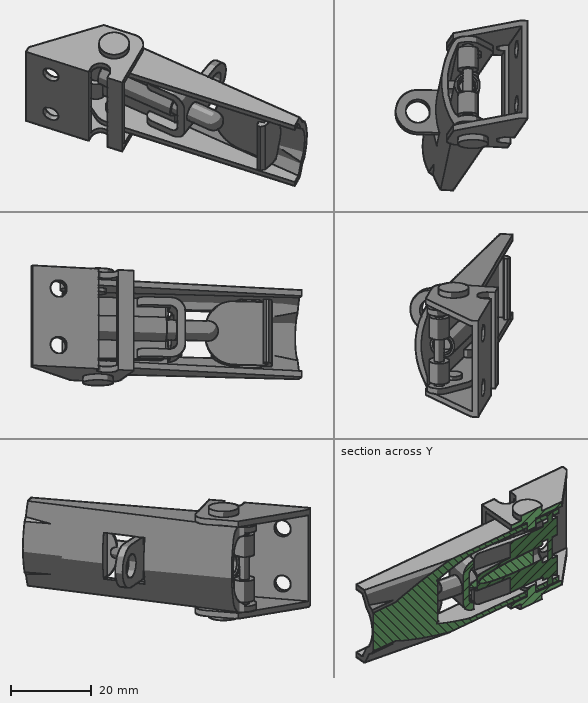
import cadquery as cq
import math

TILT = 7.6
SHEET = 1.5
EXTRA = 10.0

BRACKET_LEFT = -19.5
BRACKET_RIGHT = 6.5
BRACKET_BOTTOM = -10.0
BRACKET_TOP = 6.0
BRACKET_HALF_WIDTH = 12.65
BRACKET_CORNER_RADIUS = 3.5
BRACKET_SLANT_START_Y = -8.3
BRACKET_SLANT_END_X = -5.4
BRACKET_TIP_RADIUS = 1.4
SLOT_RADIUS = 2.5
SCREW_HOLE_DIAMETER = 4.2
SCREW_HOLE_X = -12.75
SCREW_HOLE_Z = 7.15

STUD_HEAD_DIAMETER = 7.5
STUD_HEAD_HEIGHT = 1.5
STUD_SHANK_DIAMETER = 4.2
STUD_TIP_Z = 8.55

PIN_X = -6.0
PIN_Y = 2.45
PIN_DIAMETER = 2.5

LEVER_HALF_WIDTH = 11.0
LEVER_RIGHT = 51.0
LEVER_BOTTOM = -5.0
LEVER_BACK_V = 8.13
LEVER_BACK_RADIUS = 20.5
NOSE_RADIUS = 3.0
NOSE_BLEND_RADIUS = 1.5
NOSE_UNDERSIDE_ANGLE = 50.0
HEEL_RADIUS = 4.7
WINDOW_X = (19.0, 30.0)
WINDOW_HALF_WIDTH = 6.0

TONGUE_TOP = 2.76
TONGUE_FOLD = (6.56, 1.19)
TONGUE_SIDE_ANGLE = 54.0
TONGUE_INNER_FOLD = (4.98, -0.05)
TONGUE_INNER_SIDE_ANGLE = 44.0
TONGUE_START_X = 35.0
TONGUE_HALF_WIDTH = 9.0

PAD_BOTTOM_V = 3.14
PAD_LEFT_U = 27.3
PAD_RIGHT_U = 43.95
PAD_HALF_WIDTH = 8.0
PAD_END_RADIUS = 7.0
SHOULDER_HALF_WIDTH = 8.6
SHOULDER_U = (34.6, 41.6)
SHOULDER_STEP = 0.6
SHOULDER_SLOPE = 1.5
LIP_NECK_U = 42.7
LIP_FILLET = 0.8
LIP_NECK_V = 1.4
LIP_TIP = [
    (41.37, 0.68),
    (41.47, -0.07),
    (41.99, -0.58),
    (42.65, -0.47),
    (43.5, 0.45),
]

KNUCKLE_DIAMETER = 5.0
KNUCKLE_HALF_WIDTH = 8.57
WEB_HALF_WIDTH = 7.7
WEB_CORNER_RADIUS = 1.5
SLEEVE_DIAMETER = 6.3
SLEEVE_END_U = 17.1
BORE_DIAMETER = 4.13
BORE_MOUTH_DIAMETER = 5.1
BORE_MOUTH_DEPTH = 0.4

ROD_DIAMETER = 5.0
ROD_RECESS = 3.0
ROD_DOME_U = 27.75

CATCH_THICKNESS = 2.0
CATCH_U = 19.6
CATCH_HALF_WIDTH = 7.5
CATCH_OUTER_RADIUS = 3.5
CATCH_INNER_RADIUS = 2.0
CATCH_SHOULDER_V = 5.0
LEG_START_U = 9.85
LEG_BOTTOM_V = -2.06
LEG_HEIGHT = 2.65
LEG_END_RADIUS = 2.2
RING_RADIUS = 5.5
RING_HOLE_DIAMETER = 6.0
RING_TOP_V = 17.97

tilt_sin = math.sin(math.radians(TILT))
tilt_cos = math.cos(math.radians(TILT))
pin_u = PIN_X * tilt_cos - PIN_Y * tilt_sin
pin_v = PIN_X * tilt_sin + PIN_Y * tilt_cos
sleeve_start_u = pin_u + KNUCKLE_DIAMETER / 2


def tilted(body):
    """Turn a body drawn in the U, V frame into its place on the lever."""
    return body.rotate((0, 0, 0), (0, 0, 1), -TILT)


def z_cylinder(x, y, diameter, z_from, z_to):
    plane = cq.Workplane("XY", origin=(x, y, z_from))
    return plane.circle(diameter / 2).extrude(z_to - z_from)


def u_cylinder(u_from, u_to, diameter):
    """Cylinder on the rod axis, in the tilted frame."""
    plane = cq.Workplane("YZ", origin=(u_from, pin_v, 0))
    return plane.circle(diameter / 2).extrude(u_to - u_from)


def block(x_range, y_range, half_width):
    plane = cq.Workplane("XY", origin=(x_range[0], y_range[0], -half_width))
    size = (x_range[1] - x_range[0], y_range[1] - y_range[0], 2 * half_width)
    return plane.box(*size, centered=False)


def make_stud(side):
    """Headed stud the lever turns on, on the +Z (1) or -Z (-1) side."""
    shank = z_cylinder(0, 0, STUD_SHANK_DIAMETER, STUD_TIP_Z, BRACKET_HALF_WIDTH)
    head_top = BRACKET_HALF_WIDTH + STUD_HEAD_HEIGHT
    head = z_cylinder(0, 0, STUD_HEAD_DIAMETER, BRACKET_HALF_WIDTH, head_top)
    stud = shank.union(head)
    return stud if side > 0 else stud.mirror("XY")


def make_bracket():
    floor_y = BRACKET_BOTTOM + SHEET
    body = (
        cq.Workplane("XY")
        .moveTo(BRACKET_LEFT, BRACKET_BOTTOM)
        .lineTo(BRACKET_RIGHT, BRACKET_BOTTOM)
        .lineTo(BRACKET_RIGHT, BRACKET_TOP)
        .lineTo(BRACKET_SLANT_END_X, BRACKET_TOP)
        .lineTo(BRACKET_LEFT, BRACKET_SLANT_START_Y)
        .close()
        .extrude(BRACKET_HALF_WIDTH, both=True)
    )
    body = body.edges("|Z and >X and >Y").fillet(BRACKET_CORNER_RADIUS)
    tip_edge = cq.selectors.NearestToPointSelector((BRACKET_LEFT, BRACKET_SLANT_START_Y, 0))
    body = body.edges("|Z").edges(tip_edge).fillet(BRACKET_TIP_RADIUS)

    inside = block(
        (BRACKET_LEFT - EXTRA, BRACKET_RIGHT + EXTRA),
        (floor_y, BRACKET_TOP + EXTRA),
        BRACKET_HALF_WIDTH - SHEET,
    )
    slot = block((-SLOT_RADIUS, SLOT_RADIUS), (BRACKET_BOTTOM - EXTRA, floor_y), BRACKET_HALF_WIDTH)
    slot_end = z_cylinder(0, floor_y, 2 * SLOT_RADIUS, -BRACKET_HALF_WIDTH, BRACKET_HALF_WIDTH)
    screw_holes = (
        cq.Workplane("XZ", origin=(0, floor_y, 0))
        .pushPoints([(SCREW_HOLE_X, SCREW_HOLE_Z), (SCREW_HOLE_X, -SCREW_HOLE_Z)])
        .circle(SCREW_HOLE_DIAMETER / 2)
        .extrude(SHEET)
    )
    body = body.cut(inside).cut(slot).cut(slot_end).cut(screw_holes)
    for side in (1, -1):
        body = body.union(make_stud(side))
    return body


def lever_outline():
    """Side outline of the lever: nose, underside, heel and free end."""
    angle = math.radians(NOSE_UNDERSIDE_ANGLE)
    normal = (-math.cos(angle), -math.sin(angle))
    half_turn = (angle - math.pi / 2) / 2
    nose_mid = (-math.cos(half_turn), -math.sin(half_turn))
    underside_start = (PIN_X + NOSE_RADIUS * normal[0], PIN_Y + NOSE_RADIUS * normal[1])
    heel_y = LEVER_BOTTOM + HEEL_RADIUS
    underside_end_y = heel_y + HEEL_RADIUS * normal[1]
    run = (underside_start[1] - underside_end_y) * math.tan(angle)
    underside_end = (underside_start[0] + run, underside_end_y)
    heel_x = underside_end[0] - HEEL_RADIUS * normal[0]
    heel_mid_angle = (angle + math.pi / 2) / 2
    heel_mid = (
        heel_x - HEEL_RADIUS * math.cos(heel_mid_angle),
        heel_y - HEEL_RADIUS * math.sin(heel_mid_angle),
    )
    nose_top = PIN_Y + NOSE_RADIUS
    blend_y = nose_top + NOSE_BLEND_RADIUS
    blend_mid = NOSE_BLEND_RADIUS * math.sqrt(0.5)
    back_end_x = PIN_X + NOSE_BLEND_RADIUS
    above = LEVER_BACK_V + EXTRA
    return (
        cq.Workplane("XY")
        .moveTo(PIN_X, nose_top)
        .threePointArc(
            (PIN_X + NOSE_RADIUS * nose_mid[0], PIN_Y + NOSE_RADIUS * nose_mid[1]),
            underside_start,
        )
        .lineTo(*underside_end)
        .threePointArc(heel_mid, (heel_x, LEVER_BOTTOM))
        .lineTo(LEVER_RIGHT, LEVER_BOTTOM)
        .lineTo(LEVER_RIGHT, above)
        .lineTo(back_end_x, above)
        .lineTo(back_end_x, blend_y)
        .threePointArc((PIN_X + blend_mid, blend_y - blend_mid), (PIN_X, nose_top))
        .close()
        .extrude(LEVER_HALF_WIDTH, both=True)
    )


def arched_bar(half_width, crown_v, radius):
    """Bar along U with straight sides and an arched top."""
    side_v = crown_v - radius + math.sqrt(radius**2 - half_width**2)
    base_v = LEVER_BOTTOM - EXTRA
    return tilted(
        cq.Workplane("YZ", origin=(PIN_X - EXTRA, 0, 0))
        .moveTo(base_v, -half_width)
        .lineTo(side_v, -half_width)
        .threePointArc((crown_v, 0), (side_v, half_width))
        .lineTo(base_v, half_width)
        .close()
        .extrude(LEVER_RIGHT - PIN_X + 2 * EXTRA)
    )


def tongue_bar(top_y, fold, side_angle):
    """Bar along X with a rounded crown between two folds and sloping side walls."""
    fold_z, fold_y = fold
    edge_y = fold_y - (TONGUE_HALF_WIDTH - fold_z) * math.tan(math.radians(side_angle))
    return (
        cq.Workplane("YZ", origin=(TONGUE_START_X, 0, 0))
        .moveTo(LEVER_BOTTOM, -TONGUE_HALF_WIDTH)
        .lineTo(edge_y, -TONGUE_HALF_WIDTH)
        .lineTo(fold_y, -fold_z)
        .threePointArc((top_y, 0), (fold_y, fold_z))
        .lineTo(edge_y, TONGUE_HALF_WIDTH)
        .lineTo(LEVER_BOTTOM, TONGUE_HALF_WIDTH)
        .close()
        .extrude(LEVER_RIGHT - TONGUE_START_X)
    )


def make_pad():
    """Stop pad with a hooked lip, drawn up to the crown of the lever back."""
    plate = block((PAD_LEFT_U, PAD_RIGHT_U), (PAD_BOTTOM_V, LEVER_BACK_V), PAD_HALF_WIDTH)
    plate = plate.edges("|Y and <X").fillet(PAD_END_RADIUS)

    shoulder = (
        cq.Workplane("XZ", origin=(0, PAD_BOTTOM_V + SHOULDER_STEP, 0))
        .polyline([
            (SHOULDER_U[0], -PAD_HALF_WIDTH),
            (SHOULDER_U[0] + SHOULDER_SLOPE, -SHOULDER_HALF_WIDTH),
            (SHOULDER_U[1] - SHOULDER_SLOPE / 2, -SHOULDER_HALF_WIDTH),
            (SHOULDER_U[1], -PAD_HALF_WIDTH),
            (SHOULDER_U[1], PAD_HALF_WIDTH),
            (SHOULDER_U[1] - SHOULDER_SLOPE / 2, SHOULDER_HALF_WIDTH),
            (SHOULDER_U[0] + SHOULDER_SLOPE, SHOULDER_HALF_WIDTH),
            (SHOULDER_U[0], PAD_HALF_WIDTH),
        ])
        .close()
        .extrude(PAD_BOTTOM_V + SHOULDER_STEP - LEVER_BACK_V)
    )

    fillet_mid = LIP_FILLET * (1 - math.sqrt(0.5))
    lip = (
        cq.Workplane("XY", origin=(0, 0, -PAD_HALF_WIDTH))
        .moveTo(LIP_NECK_U - LIP_FILLET, PAD_BOTTOM_V)
        .threePointArc(
            (LIP_NECK_U - fillet_mid, PAD_BOTTOM_V - fillet_mid),
            (LIP_NECK_U, PAD_BOTTOM_V - LIP_FILLET),
        )
        .lineTo(LIP_NECK_U, LIP_NECK_V)
    )
    for point in LIP_TIP:
        lip = lip.lineTo(*point)
    lip = lip.lineTo(PAD_RIGHT_U, PAD_BOTTOM_V).close().extrude(2 * PAD_HALF_WIDTH)
    return tilted(plate.union(shoulder).union(lip).cut(rod_shape()))


def make_lever():
    back = arched_bar(LEVER_HALF_WIDTH, LEVER_BACK_V, LEVER_BACK_RADIUS)
    hollow = arched_bar(LEVER_HALF_WIDTH - SHEET, LEVER_BACK_V - SHEET, LEVER_BACK_RADIUS - SHEET)
    tongue = tongue_bar(TONGUE_TOP, TONGUE_FOLD, TONGUE_SIDE_ANGLE)
    tongue_hollow = tongue_bar(TONGUE_TOP - SHEET, TONGUE_INNER_FOLD, TONGUE_INNER_SIDE_ANGLE)
    window = block(WINDOW_X, (0, LEVER_BACK_V + EXTRA), WINDOW_HALF_WIDTH)
    pin_hole = z_cylinder(PIN_X, PIN_Y, PIN_DIAMETER, -LEVER_HALF_WIDTH, LEVER_HALF_WIDTH)
    stud_hole = z_cylinder(0, 0, STUD_SHANK_DIAMETER, -LEVER_HALF_WIDTH, LEVER_HALF_WIDTH)
    shell = back.union(tongue).intersect(lever_outline())
    shell = shell.cut(hollow).cut(tongue_hollow)
    pad = make_pad().intersect(back)
    return shell.union(pad).cut(window).cut(pin_hole).cut(stud_hole)


def rod_shape():
    """Round rod with a domed tip and a thinner tail in the bore of the carrier."""
    tail = u_cylinder(sleeve_start_u + ROD_RECESS, SLEEVE_END_U, BORE_DIAMETER)
    rod = u_cylinder(SLEEVE_END_U, ROD_DOME_U, ROD_DIAMETER)
    dome = cq.Workplane("XY", origin=(ROD_DOME_U, pin_v, 0)).sphere(ROD_DIAMETER / 2)
    return rod.union(dome).union(tail)


def make_carrier():
    """Knuckles on the draw pin, the flat web behind them and the sleeve for the rod."""
    knuckles = z_cylinder(pin_u, pin_v, KNUCKLE_DIAMETER, -KNUCKLE_HALF_WIDTH, KNUCKLE_HALF_WIDTH)
    web = block((pin_u, SLEEVE_END_U), (pin_v - SHEET / 2, pin_v + SHEET / 2), WEB_HALF_WIDTH)
    web = web.edges("|Y and >X").fillet(WEB_CORNER_RADIUS)
    gap = block(
        (pin_u - KNUCKLE_DIAMETER, sleeve_start_u),
        (pin_v - KNUCKLE_DIAMETER, pin_v + KNUCKLE_DIAMETER),
        SLEEVE_DIAMETER / 2,
    )
    sleeve = u_cylinder(sleeve_start_u, SLEEVE_END_U, SLEEVE_DIAMETER)
    bore = u_cylinder(sleeve_start_u, SLEEVE_END_U, BORE_DIAMETER)
    mouth = (
        cq.Workplane("YZ", origin=(sleeve_start_u, pin_v, 0))
        .circle(BORE_MOUTH_DIAMETER / 2)
        .workplane(offset=BORE_MOUTH_DEPTH)
        .circle(BORE_DIAMETER / 2)
        .loft()
    )
    pin = z_cylinder(pin_u, pin_v, PIN_DIAMETER, -LEVER_HALF_WIDTH, LEVER_HALF_WIDTH)
    return knuckles.union(web).cut(gap).union(sleeve).cut(bore).cut(mouth).union(pin)


def make_catch():
    """U-shaped catch: an upright with two legs along the web and a pull ring on top."""
    back_u = CATCH_U + CATCH_THICKNESS
    inner_half_width = CATCH_HALF_WIDTH - CATCH_THICKNESS
    channel = block((LEG_START_U, back_u), (LEG_BOTTOM_V, CATCH_SHOULDER_V), CATCH_HALF_WIDTH)
    channel = channel.edges("|Y and >X").fillet(CATCH_OUTER_RADIUS)
    inside = block(
        (LEG_START_U - EXTRA, CATCH_U),
        (LEG_BOTTOM_V - EXTRA, CATCH_SHOULDER_V + EXTRA),
        inner_half_width,
    )
    inside = inside.edges("|Y and >X").fillet(CATCH_INNER_RADIUS)
    above_legs = block(
        (LEG_START_U - EXTRA, back_u - CATCH_OUTER_RADIUS),
        (LEG_BOTTOM_V + LEG_HEIGHT, CATCH_SHOULDER_V + EXTRA),
        CATCH_HALF_WIDTH,
    )
    channel = channel.cut(inside).cut(above_legs)
    channel = channel.edges("|Z and <X and <Y").fillet(LEG_END_RADIUS)

    ring_v = RING_TOP_V - RING_RADIUS
    stem = block((CATCH_U, back_u), (CATCH_SHOULDER_V, ring_v), RING_RADIUS)
    ring_plane = cq.Workplane("YZ", origin=(CATCH_U, ring_v, 0))
    ring = ring_plane.circle(RING_RADIUS).extrude(CATCH_THICKNESS)
    ring_hole = ring_plane.circle(RING_HOLE_DIAMETER / 2).extrude(CATCH_THICKNESS)
    rod_hole = u_cylinder(CATCH_U, back_u, ROD_DIAMETER)
    return channel.union(stem).union(ring).cut(ring_hole).cut(rod_hole)


bracket = make_bracket()
lever = make_lever()
carrier = tilted(make_carrier())
rod = tilted(rod_shape())
catch = tilted(make_catch())

result = cq.Compound.makeCompound([
    bracket.val(),
    lever.val(),
    carrier.val(),
    rod.val(),
    catch.val(),
])